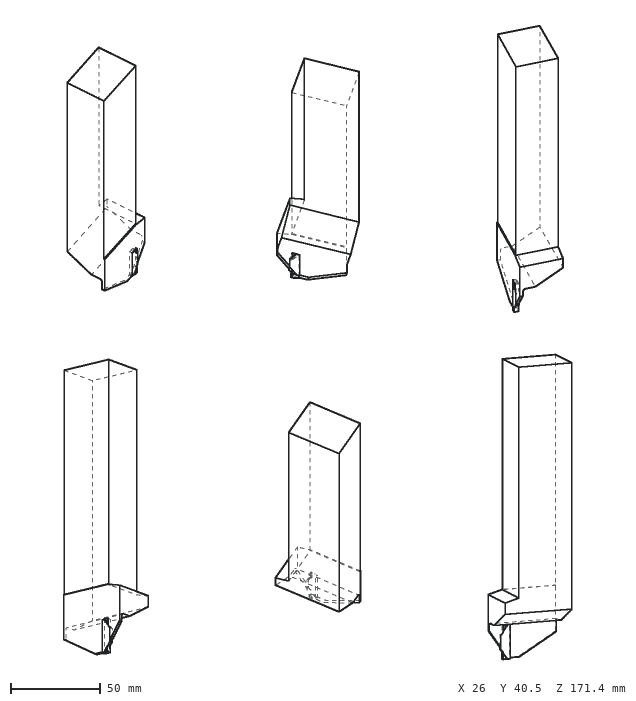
import cadquery as cq
import math

TOTAL_HEIGHT = 171.4

SHANK_WIDTH = 25.0
SHANK_DEPTH = 32.0
FACE_LEAN = 0.25

HEAD_DEPTH = 40.5
HEAD_SIDE_X = 25.5
HEAD_STEP_Z = 39.8
HEAD_SHOULDER_Z = 39.5
HEAD_BACK_TOP_Z = 37.4
HEAD_FLOOR_Z = 21.5
RAMP_END_X = 16.5
RAMP_ANGLE = 30.0
RAMP_TOP_Z = HEAD_FLOOR_Z + RAMP_END_X * math.tan(math.radians(RAMP_ANGLE))

BLADE_SIDE_X = 23.6
BLADE_ROOT_RADIUS = 1.5
BLADE_BACK_Z = 16.8
BLADE_FRONT_Z = 13.5
BLADE_BOTTOM_Z = 0.7
BLADE_BOTTOM_FRONT_Y = 22.5
BLADE_BOTTOM_BACK_Y = 29.1

INSERT_LENGTH = 19.5
INSERT_FRONT_Y = 27.8
INSERT_RAKE_Y = SHANK_DEPTH
INSERT_WAIST_Y = 33.4
WAIST_START_Z = 5.7
TIP_RAKE_END_Z = 4.1
TIP_SIDE_X = 26.0
TIP_NEAR_X = 23.5
TIP_BACK_Z = 3.5
TIP_FRONT_Y = 29.5


def extrude_along_x(points, start_x, end_x):
    """Extrude an outline of (Y, Z) points between two X positions."""
    return cq.Workplane("YZ").workplane(offset=start_x).polyline(points).close().extrude(end_x - start_x)


def make_side_outline():
    """Full silhouette of the holder across its depth."""
    points = [
        (0, BLADE_FRONT_Z),
        (0, TOTAL_HEIGHT),
        (SHANK_DEPTH, TOTAL_HEIGHT),
        (SHANK_DEPTH, HEAD_SHOULDER_Z),
        (HEAD_DEPTH, HEAD_BACK_TOP_Z),
        (HEAD_DEPTH, BLADE_BACK_Z),
        (BLADE_BOTTOM_BACK_Y, BLADE_BOTTOM_Z),
        (BLADE_BOTTOM_FRONT_Y, BLADE_BOTTOM_Z),
    ]
    return extrude_along_x(points, 0, HEAD_SIDE_X)


def make_front_profile():
    """Silhouette across the width: shank, ramp, blade and its root fillet."""
    fillet_offset = BLADE_ROOT_RADIUS * (1 - math.sqrt(0.5))
    return (
        cq.Workplane("XZ")
        .moveTo(0, RAMP_TOP_Z)
        .lineTo(RAMP_END_X, HEAD_FLOOR_Z)
        .lineTo(BLADE_SIDE_X - BLADE_ROOT_RADIUS, HEAD_FLOOR_Z)
        .threePointArc(
            (BLADE_SIDE_X - fillet_offset, HEAD_FLOOR_Z - fillet_offset),
            (BLADE_SIDE_X, HEAD_FLOOR_Z - BLADE_ROOT_RADIUS),
        )
        .lineTo(BLADE_SIDE_X, 0)
        .lineTo(HEAD_SIDE_X, 0)
        .lineTo(HEAD_SIDE_X, HEAD_STEP_Z)
        .lineTo(SHANK_WIDTH, HEAD_STEP_Z)
        .lineTo(SHANK_WIDTH, TOTAL_HEIGHT)
        .lineTo(0, TOTAL_HEIGHT)
        .close()
        .extrude(-HEAD_DEPTH)
    )


def make_lean_cut():
    """Thin wedge that makes the -X face lean inward toward the front."""
    return (
        cq.Workplane("XY")
        .polyline([(0, 0), (FACE_LEAN, 0), (0, HEAD_DEPTH)])
        .close()
        .extrude(TOTAL_HEIGHT)
    )


def make_insert():
    """Flat insert with a raised waist and a wider cutting tip at each end."""
    body_points = [
        (INSERT_FRONT_Y, 0),
        (INSERT_RAKE_Y, 0),
        (INSERT_RAKE_Y, TIP_RAKE_END_Z),
        (INSERT_WAIST_Y, WAIST_START_Z),
        (INSERT_WAIST_Y, INSERT_LENGTH - WAIST_START_Z),
        (INSERT_RAKE_Y, INSERT_LENGTH - TIP_RAKE_END_Z),
        (INSERT_RAKE_Y, INSERT_LENGTH),
        (INSERT_FRONT_Y, INSERT_LENGTH),
    ]
    body = extrude_along_x(body_points, BLADE_SIDE_X, HEAD_SIDE_X)
    tip_points = [(INSERT_RAKE_Y, 0), (INSERT_RAKE_Y, TIP_BACK_Z), (TIP_FRONT_Y, 0)]
    lower_tip = extrude_along_x(tip_points, TIP_NEAR_X, TIP_SIDE_X)
    upper_tip = lower_tip.mirror("XY", (0, 0, INSERT_LENGTH / 2))
    return body.union(lower_tip).union(upper_tip)


def make_holder(insert):
    """Tool holder with a seat that matches the insert."""
    blank = make_side_outline().intersect(make_front_profile())
    return blank.cut(make_lean_cut()).cut(insert)


cutting_insert = make_insert()
holder = make_holder(cutting_insert)

result = cq.Compound.makeCompound([holder.solids().val(), cutting_insert.solids().val()])